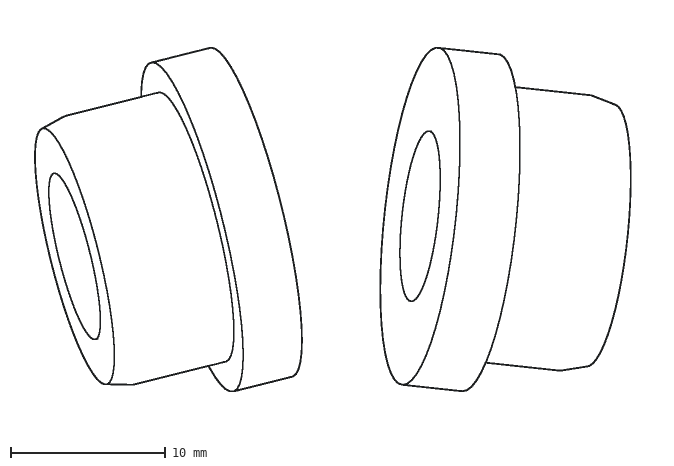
import cadquery as cq

total_length = 12.0
flange_diameter = 22.0
flange_thickness = 4.0
body_diameter = 18.0
bore_diameter = 11.1
tip_diameter = 17.12
taper_length = 1.67

back_y = total_length / 2
front_y = -total_length / 2
shoulder_y = back_y - flange_thickness
taper_y = front_y + taper_length

half_section = (
    cq.Workplane("XY")
    .moveTo(bore_diameter / 2, front_y)
    .lineTo(tip_diameter / 2, front_y)
    .lineTo(body_diameter / 2, taper_y)
    .lineTo(body_diameter / 2, shoulder_y)
    .lineTo(flange_diameter / 2, shoulder_y)
    .lineTo(flange_diameter / 2, back_y)
    .lineTo(bore_diameter / 2, back_y)
    .close()
)

result = half_section.revolve(360, (0, 0, 0), (0, 1, 0))